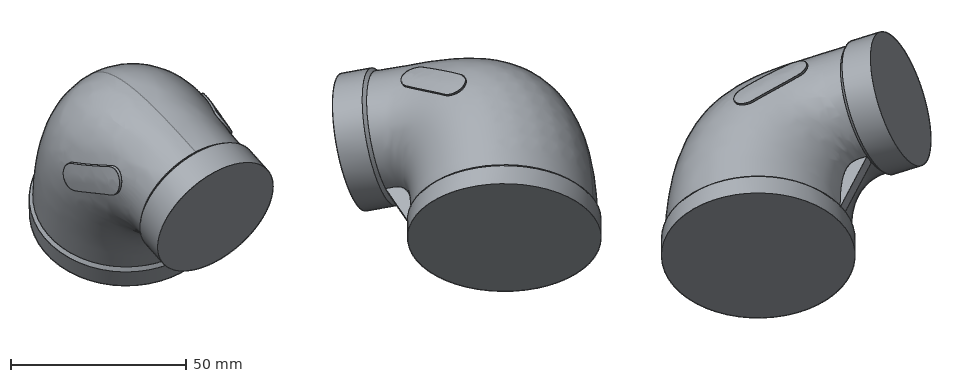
import cadquery as cq
import math

length = 72.6
outlet_dia = 39.9
inlet_dia = 55.2
height = 61.9

inlet_x = inlet_dia / 2
outlet_z = height - outlet_dia / 2

inlet_collar_height = 6.2
outlet_collar_length = 8.9
collar_step = 1.0

inlet_body_radius = inlet_dia / 2 - collar_step
outlet_body_radius = outlet_dia / 2 - collar_step
bend_start_z = inlet_collar_height + collar_step
bend_end_x = length - outlet_collar_length - collar_step

heel_start_lean = 1.1
heel_start_rise = 51.0
heel_end_handle = 33.7
throat_start_rise = 17.3
throat_end_handle = 4.6
flank_flattening = 0.04
bend_sections = 10

web_thickness = 2.9

pad_low_center = (35.5, 39.05)
pad_high_center = (48.1, 47.0)
pad_radius = 4.1
pad_raise = 0.7
pad_inner_y = 10.9

heel_start = (inlet_x - inlet_body_radius, bend_start_z)
heel_end = (bend_end_x, outlet_z + outlet_body_radius)
throat_start = (inlet_x + inlet_body_radius, bend_start_z)
throat_end = (bend_end_x, outlet_z - outlet_body_radius)

heel_curve = (
    heel_start,
    (heel_start[0] + heel_start_lean, heel_start[1] + heel_start_rise),
    (heel_end[0] - heel_end_handle, heel_end[1]),
    heel_end,
)
throat_curve = (
    throat_start,
    (throat_start[0], throat_start[1] + throat_start_rise),
    (throat_end[0] - throat_end_handle, throat_end[1]),
    throat_end,
)


def bezier_point(controls, t):
    """Point at parameter t on a cubic Bezier curve in the XZ plane."""
    weights = ((1 - t) ** 3, 3 * t * (1 - t) ** 2, 3 * t**2 * (1 - t), t**3)
    x = sum(weight * point[0] for weight, point in zip(weights, controls))
    z = sum(weight * point[1] for weight, point in zip(weights, controls))
    return x, z


def bend_section(t, offset):
    """Section spanning from throat to heel: round at the ends, slightly oval at mid-bend."""
    heel_x, heel_z = bezier_point(heel_curve, t)
    throat_x, throat_z = bezier_point(throat_curve, t)
    across_x = throat_x - heel_x
    across_z = throat_z - heel_z
    radius = math.hypot(across_x, across_z) / 2
    half_width = radius * (1 - flank_flattening * math.sin(math.pi * t))
    section_plane = cq.Plane(
        origin=((heel_x + throat_x) / 2, 0, (heel_z + throat_z) / 2),
        xDir=(-across_x, 0, -across_z),
        normal=(-across_z, 0, across_x),
    )
    section = cq.Workplane(section_plane).ellipse(radius + offset, half_width + offset)
    return section.wire().val()


def make_bend(offset=0.0):
    """Tapering elbow body, grown outwards by offset."""
    sections = [bend_section(i / bend_sections, offset) for i in range(bend_sections + 1)]
    return cq.Workplane(cq.Solid.makeLoft(sections))


def make_collar(plane, radius, collar_length):
    """Cylindrical end collar with a short cone down to the body radius."""
    full_length = collar_length + collar_step
    body_radius = radius - collar_step
    profile = [(0, 0), (radius, 0), (radius, collar_length), (body_radius, full_length), (0, full_length)]
    half_section = cq.Workplane("XY").polyline(profile).close()
    collar = half_section.revolve(360, (0, 0), (0, 1)).rotate((0, 0, 0), (1, 0, 0), 90)
    return cq.Workplane(collar.val().moved(cq.Location(plane)))


def make_web():
    """Triangular web closing the throat between the two ends of the bend."""
    inside_point = (inlet_x, outlet_z)
    return (
        cq.Workplane("XZ")
        .polyline([throat_start, throat_end, inside_point])
        .close()
        .extrude(web_thickness / 2, both=True)
    )


def make_pads():
    """Slot-shaped pads that follow the bend surface on the -Y and +Y flanks."""
    run_x = pad_high_center[0] - pad_low_center[0]
    run_z = pad_high_center[1] - pad_low_center[1]
    slot_length = math.hypot(run_x, run_z) + 2 * pad_radius
    slot_angle = math.degrees(math.atan2(run_z, run_x))
    middle_x = (pad_low_center[0] + pad_high_center[0]) / 2
    middle_z = (pad_low_center[1] + pad_high_center[1]) / 2
    slot_prism = (
        cq.Workplane("XZ", origin=(0, -pad_inner_y, 0))
        .center(middle_x, middle_z)
        .slot2D(slot_length, 2 * pad_radius, slot_angle)
        .extrude(inlet_dia / 2)
    )
    near_pad = slot_prism.intersect(make_bend(pad_raise))
    return near_pad, near_pad.mirror("XZ")


inlet_plane = cq.Plane(origin=(inlet_x, 0, 0), xDir=(1, 0, 0), normal=(0, 0, 1))
outlet_plane = cq.Plane(origin=(length, 0, outlet_z), xDir=(0, 1, 0), normal=(-1, 0, 0))

result = (
    make_bend()
    .union(make_collar(inlet_plane, inlet_dia / 2, inlet_collar_height))
    .union(make_collar(outlet_plane, outlet_dia / 2, outlet_collar_length))
    .union(make_web())
)
for pad in make_pads():
    result = result.union(pad)